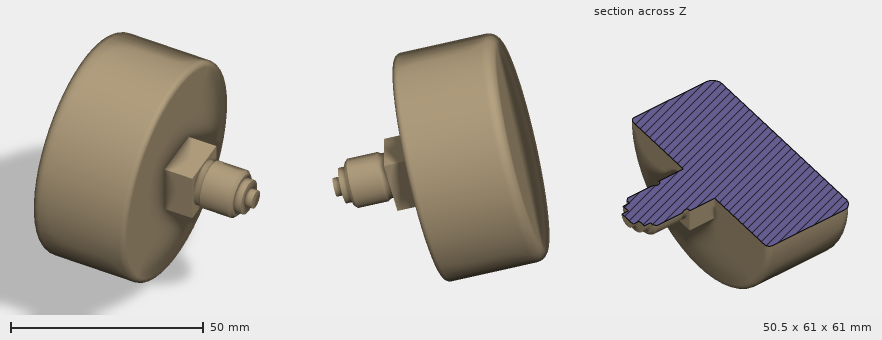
import cadquery as cq
import math


case_diameter = 61.0
case_length = 27.5
front_edge_radius = 3.0
rear_edge_radius = 1.5

wrench_width = 14.0
wrench_length = 8.0

thread_diameter = 13.16
thread_length = 11.0
thread_end_chamfer = 0.8

relief_diameter = 12.0
relief_arc_radius = 1.5
relief_bottom_offset = 0.8

collar_diameter = 9.5
collar_length = 2.0
tip_diameter = 5.0
tip_length = 2.0

wrench_start = case_length
thread_start = wrench_start + wrench_length
collar_start = thread_start + thread_length
tip_start = collar_start + collar_length


def cylinder(start, length, diameter):
    """Cylinder on the X axis, running from start towards +X."""
    return cq.Workplane("YZ", origin=(start, 0, 0)).circle(diameter / 2).extrude(length)


def make_case():
    case = cylinder(0, case_length, case_diameter)
    case = case.faces("<X").edges().fillet(front_edge_radius)
    return case.faces(">X").edges().fillet(rear_edge_radius)


def make_wrench_section():
    plane = cq.Workplane("YZ", origin=(wrench_start, 0, 0))
    return plane.rect(wrench_width, wrench_width).extrude(wrench_length)


def make_threaded_stem():
    """Revolved stem: relief groove of one concave arc, then the thread and its end chamfer."""
    thread_radius = thread_diameter / 2
    bottom_x = thread_start + relief_bottom_offset
    bottom_radius = relief_diameter / 2
    arc_centre_radius = bottom_radius + relief_arc_radius

    arc_start_radius = arc_centre_radius - math.sqrt(relief_arc_radius**2 - relief_bottom_offset**2)
    arc_end_x = bottom_x + math.sqrt(relief_arc_radius**2 - (arc_centre_radius - thread_radius) ** 2)

    profile = (
        cq.Workplane("XY")
        .moveTo(thread_start, 0)
        .lineTo(thread_start, arc_start_radius)
        .threePointArc((bottom_x, bottom_radius), (arc_end_x, thread_radius))
        .lineTo(collar_start - thread_end_chamfer, thread_radius)
        .lineTo(collar_start, thread_radius - thread_end_chamfer)
        .lineTo(collar_start, 0)
        .close()
    )
    return profile.revolve(360, (0, 0, 0), (1, 0, 0))


def make_spigot():
    collar = cylinder(collar_start, collar_length, collar_diameter)
    return collar.union(cylinder(tip_start, tip_length, tip_diameter))


result = make_case().union(make_wrench_section()).union(make_threaded_stem()).union(make_spigot())